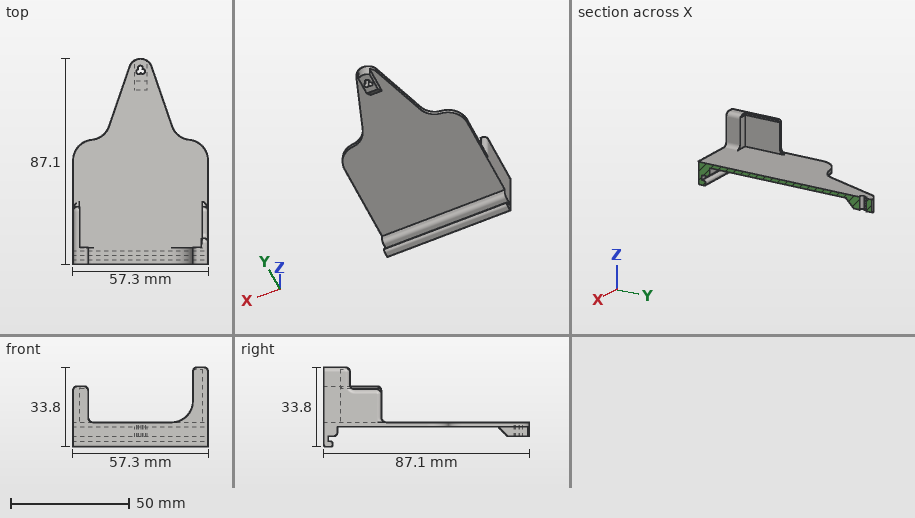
import cadquery as cq
import math

width = 57.3
length = 87.1
half_width = width / 2
pick = 0.1

plate_top = 10.45
plate_thickness = 2.0
plate_bottom = plate_top - plate_thickness
corner_radius = 9.0
corner_start = 43.9
tip_radius = 5.0
tip_center_y = length - tip_radius
taper_angle = 19.0
neck_radius = 8.4

edge_radius = 2.0
wall_thickness = 2.6
lip_overhang = 0.35
lip_height = 1.0
wall_back = 24.5
left_top = 25.8
right_top = 33.8
right_wall_top = 24.4
right_step_back = 11.15
post_width = 6.5
post_depth = 7.0
right_inside_radius = 9.0
wall_corner_radius = 2.05
flare_run = 3.5

block_depth = 5.8
block_bottom = 4.4
block_radius = 1.7
neck_depth = 1.9
hook_depth = 3.8
hook_height = 2.4
hook_radius = 1.05
front_edge_radius = 1.0

boss_width = 5.2
boss_bottom = 4.4
boss_length = 9.2
lobe_radius = 1.0
lobe_offset = 1.0
lobe_count = 3
first_lobe_angle = 95.0


def box(x0, x1, y0, y1, z0, z1):
    return cq.Workplane("XY").box(x1 - x0, y1 - y0, z1 - z0, centered=False).translate((x0, y0, z0))


def side_extrusion(points, x0, x1):
    """Closed (y, z) outline extruded from x0 to x1."""
    return cq.Workplane("YZ").polyline(points).close().extrude(x1 - x0).translate((x0, 0, 0))


def tip_outline(half, bottom, height):
    """Tapered plate outline: straight sides, round shoulders, concave necks and a round tip."""
    taper = math.radians(taper_angle)
    normal = (math.cos(taper), math.sin(taper))
    along = (math.sin(taper), -math.cos(taper))
    shoulder = (half - corner_radius, corner_start)

    start = (
        (tip_radius + neck_radius) * normal[0],
        tip_center_y + (tip_radius + neck_radius) * normal[1],
    )
    offset = (start[0] - shoulder[0], start[1] - shoulder[1])
    projection = offset[0] * along[0] + offset[1] * along[1]
    reach = corner_radius + neck_radius
    distance = -projection - math.sqrt(projection**2 - offset[0]**2 - offset[1]**2 + reach**2)
    neck = (start[0] + distance * along[0], start[1] + distance * along[1])

    def on_arc(center, radius, angle):
        return (center[0] + radius * math.cos(angle), center[1] + radius * math.sin(angle))

    join_angle = math.atan2(neck[1] - shoulder[1], neck[0] - shoulder[0])
    neck_start = join_angle - math.pi
    neck_end = taper - math.pi
    join = on_arc(shoulder, corner_radius, join_angle)
    shoulder_mid = on_arc(shoulder, corner_radius, join_angle / 2)
    neck_mid = on_arc(neck, neck_radius, (neck_start + neck_end) / 2)
    neck_tangent = on_arc(neck, neck_radius, neck_end)
    tip_tangent = on_arc((0, tip_center_y), tip_radius, taper)

    def mirrored(point):
        return (-point[0], point[1])

    return (
        cq.Workplane("XY").workplane(offset=bottom)
        .moveTo(-half, 0)
        .lineTo(half, 0)
        .lineTo(half, corner_start)
        .threePointArc(shoulder_mid, join)
        .threePointArc(neck_mid, neck_tangent)
        .lineTo(*tip_tangent)
        .threePointArc((0, length), mirrored(tip_tangent))
        .lineTo(*mirrored(neck_tangent))
        .threePointArc(mirrored(neck_mid), mirrored(join))
        .threePointArc(mirrored(shoulder_mid), (-half, corner_start))
        .close()
        .extrude(height)
    )


def edge_at(y, z):
    """Selector for the edge that runs along X through (y, z) on the right-hand wall."""
    return cq.selectors.BoxSelector((0, y - pick, z - pick), (half_width, y + pick, z + pick))


def side_wall(steps, thickness):
    """Right-hand wall; steps are (back, top) pairs from the front. The last one ends in a flare."""
    front_top = steps[0][1]
    floors = [top for _, top in steps[1:]] + [plate_top]
    flare_end = wall_back + wall_corner_radius + flare_run
    points = [(0, block_bottom), (0, front_top)]
    corners = []
    for (back, top), floor in zip(steps, floors):
        corners += [(back, top), (back, floor)]
    points += corners + [(flare_end, plate_top), (flare_end, block_bottom)]
    wall = side_extrusion(points, half_width - thickness, half_width)

    for y, z in corners:
        wall = wall.edges(edge_at(y, z)).fillet(wall_corner_radius)

    rim_start = cq.selectors.BoxSelector(
        (half_width - pick, 0, front_top - pick),
        (half_width + pick, steps[0][0], front_top + pick),
    )
    wall = wall.edges(rim_start).edges("|Y").fillet(edge_radius)

    return wall.intersect(box(0, half_width, 0, length, plate_bottom, front_top))


def post(top, inside_radius, depth):
    """Right-hand front post with rounded top edges and a fillet to the plate."""
    inner = half_width - post_width
    body = box(inner, half_width, 0, depth, plate_bottom, top).edges("|Y and >Z").fillet(edge_radius)
    web = box(inner - inside_radius, inner, 0, depth, plate_top, plate_top + inside_radius)
    round_cut = (
        cq.Workplane("XZ")
        .center(inner - inside_radius, plate_top + inside_radius)
        .circle(inside_radius)
        .extrude(-depth)
    )
    return body.union(web.cut(round_cut))


def holder_side(steps, inside_radius):
    """Right-hand wall and post, with a small lip overhanging inward along their top."""
    top = steps[0][1]
    body = side_wall(steps, wall_thickness).union(post(top, inside_radius, post_depth))
    lip = side_wall(steps, wall_thickness + lip_overhang)
    lip = lip.union(post(top, inside_radius, post_depth + lip_overhang))
    lip_zone = box(0, half_width, 0, wall_back, top - lip_height, top)
    return body.union(lip.intersect(lip_zone))


def front_clip():
    """Block under the front edge with a hooked lip, running the full width."""
    block = box(-half_width, half_width, 0, block_depth, block_bottom, plate_bottom)
    block = block.edges("|X and >Y and <Z").fillet(block_radius)
    neck = box(-half_width, half_width, 0, neck_depth, hook_height, block_bottom)
    hook = box(-half_width, half_width, 0, hook_depth, 0, hook_height)
    hook = hook.edges("|X and >Y").fillet(hook_radius)
    hook = hook.edges("|X and <Y and <Z").fillet(front_edge_radius)
    return block.union(neck).union(hook)


def tip_boss():
    """Flat-sided boss below the tip, ending in a 45 degree ramp."""
    ramp_height = plate_bottom - boss_bottom
    ramp_foot = length - boss_length
    boss = side_extrusion(
        [
            (length, boss_bottom),
            (ramp_foot, boss_bottom),
            (ramp_foot - ramp_height, plate_bottom),
            (length, plate_bottom),
        ],
        -boss_width / 2,
        boss_width / 2,
    )
    return boss.intersect(tip_outline(half_width, boss_bottom, ramp_height))


def tip_hole():
    """Three overlapping round lobes through the plate and boss."""
    hole = cq.Workplane("XY")
    for index in range(lobe_count):
        angle = math.radians(first_lobe_angle + 360 * index / lobe_count)
        x = lobe_offset * math.cos(angle)
        y = tip_center_y + lobe_offset * math.sin(angle)
        lobe = cq.Workplane("XY", origin=(x, y, boss_bottom)).circle(lobe_radius)
        hole = hole.union(lobe.extrude(plate_top - boss_bottom))
    return hole


left_side = holder_side([(wall_back, left_top)], edge_radius).mirror("YZ")
right_side = holder_side(
    [(right_step_back, right_top), (wall_back, right_wall_top)],
    right_inside_radius,
)

result = (
    tip_outline(half_width, plate_bottom, plate_thickness)
    .union(left_side)
    .union(right_side)
    .union(front_clip())
    .union(tip_boss())
    .cut(tip_hole())
)